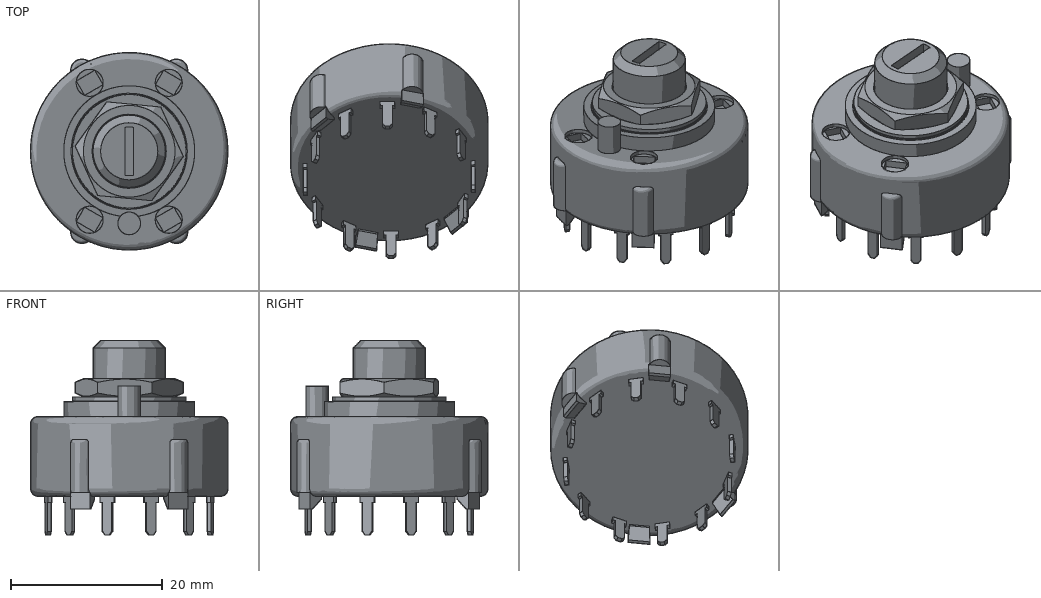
import cadquery as cq
import math

OVERALL_HEIGHT = 25.6

HOUSING_DIA = 26.0
HOUSING_HEIGHT = 10.5
HOUSING_FLAT_DIA = 24.0
HOUSING_ROUND = (HOUSING_DIA - HOUSING_FLAT_DIA) / 2

COLLAR_DIA = 17.25
COLLAR_TOP = 12.48
WASHER_DIA = 15.0
WASHER_TOP = 13.1
WASHER_SEAT_DIA = 15.3
WASHER_SEAT_DEPTH = 0.25
WASHER_BOTTOM = 12.55
WASHER_NECK_DIA = 14.82

NUT_SIDES = 6
NUT_ACROSS_CORNERS = 14.3
NUT_TOP = 15.5
NUT_TURN = -5.5
NUT_FACE_DIA = 12.06
NUT_CORNER_DROP = 0.5
NUT_BORE_DIA = 9.75
NUT_BORE_DEPTH = 0.5

BUSHING_DIA = 9.5
BUSHING_TOP = 20.51
BUSHING_CHAMFER = 1.0
SHAFT_DIA = 6.4
SLOT_WIDTH = 1.17
SLOT_DEPTH = 2.0

PEG_DIA = 3.0
PEG_TOP = 14.5
PEG_OFFSET = 9.5

CORNER_ANGLE = 60.0
HOLE_DIA = 3.55
HOLE_RADIUS = 10.4
HOLE_DEPTH = 0.5
POCKET_LENGTH = 2.8
POCKET_WIDTH = math.sqrt(HOLE_DIA**2 - POCKET_LENGTH**2)
POCKET_DEPTH = 1.0
RIB_DIA = 3.0
RIB_X = 6.21
RIB_Y = 10.63
RIB_BOTTOM = 0.52
RIB_TOP = 7.51
RIB_ROUND = 0.5

LEG_OUTER_RADIUS = 12.9
LEG_DEPTH = 1.8
LEG_WIDTH = 2.9
LEG_TAPER = 0.29
LEG_BOTTOM = -1.66
LEG_TIP_DEPTH = 0.4
LEG_SLOPE_TOP = -0.35

PIN_COUNT = 12
PIN_RADIUS = 11.05
PIN_WIDTH = 1.3
PIN_THICKNESS = 0.52
PIN_BOTTOM = BUSHING_TOP - OVERALL_HEIGHT
PIN_TIP_CHAMFER_WIDTH = 0.36
PIN_TIP_CHAMFER_HEIGHT = 0.5
SHOULDER_WIDTH = 1.92
SHOULDER_BOTTOM = -0.83


def cylinder(diameter, bottom, top):
    return cq.Workplane("XY").workplane(offset=bottom).circle(diameter / 2).extrude(top - bottom)


def at_corners(shape):
    """Copy a shape from the +X +Y corner to all four corners."""
    right = shape.union(shape.mirror("XZ"))
    return right.union(right.mirror("YZ"))


def make_housing():
    housing = cylinder(HOUSING_DIA, 0, HOUSING_HEIGHT)
    return housing.faces("<Z or >Z").edges().fillet(HOUSING_ROUND)


def make_collar():
    seat_floor = COLLAR_TOP - WASHER_SEAT_DEPTH
    collar = cylinder(COLLAR_DIA, HOUSING_HEIGHT, COLLAR_TOP)
    seat = cylinder(WASHER_SEAT_DIA, seat_floor, COLLAR_TOP)
    neck = cylinder(WASHER_NECK_DIA, seat_floor, WASHER_BOTTOM)
    washer = cylinder(WASHER_DIA, WASHER_BOTTOM, WASHER_TOP)
    return collar.cut(seat).union(neck).union(washer)


def make_nut():
    corner_radius = NUT_ACROSS_CORNERS / 2
    hexagon = (
        cq.Workplane("XY")
        .workplane(offset=WASHER_TOP)
        .polygon(NUT_SIDES, NUT_ACROSS_CORNERS)
        .extrude(NUT_TOP - WASHER_TOP)
        .rotate((0, 0, 0), (0, 0, 1), NUT_TURN)
    )
    envelope = (
        cq.Workplane("XZ")
        .moveTo(0, WASHER_TOP)
        .lineTo(NUT_FACE_DIA / 2, WASHER_TOP)
        .lineTo(corner_radius, WASHER_TOP + NUT_CORNER_DROP)
        .lineTo(corner_radius, NUT_TOP - NUT_CORNER_DROP)
        .lineTo(NUT_FACE_DIA / 2, NUT_TOP)
        .lineTo(0, NUT_TOP)
        .close()
        .revolve(360, (0, 0, 0), (0, 1, 0))
    )
    bore = cylinder(NUT_BORE_DIA, NUT_TOP - NUT_BORE_DEPTH, NUT_TOP)
    return hexagon.intersect(envelope).cut(bore)


def make_bushing():
    bushing = cylinder(BUSHING_DIA, WASHER_TOP, BUSHING_TOP).faces(">Z").edges().chamfer(BUSHING_CHAMFER)
    shaft_end = cylinder(SHAFT_DIA, BUSHING_TOP - SLOT_DEPTH, BUSHING_TOP)
    slot = shaft_end.intersect(cq.Workplane("XY").box(SLOT_WIDTH, SHAFT_DIA, 2 * BUSHING_TOP))
    return bushing.cut(slot)


def make_peg():
    return cylinder(PEG_DIA, HOUSING_HEIGHT, PEG_TOP).translate((0, -PEG_OFFSET, 0))


def make_corner_hole():
    floor = HOUSING_HEIGHT - HOLE_DEPTH
    hole = cylinder(HOLE_DIA, floor, HOUSING_HEIGHT)
    pocket = (
        cq.Workplane("XY")
        .workplane(offset=floor - POCKET_DEPTH)
        .rect(POCKET_WIDTH, POCKET_LENGTH)
        .extrude(POCKET_DEPTH)
    )
    return hole.union(pocket).translate((HOLE_RADIUS, 0, 0)).rotate((0, 0, 0), (0, 0, 1), CORNER_ANGLE)


def make_rib():
    rib = cylinder(RIB_DIA, RIB_BOTTOM, RIB_TOP).faces(">Z").edges().fillet(RIB_ROUND)
    return rib.translate((RIB_X, RIB_Y, 0))


def make_leg():
    inner_radius = LEG_OUTER_RADIUS - LEG_DEPTH
    half_width = LEG_WIDTH / 2
    block = (
        cq.Workplane("XY")
        .workplane(offset=LEG_BOTTOM)
        .moveTo(LEG_OUTER_RADIUS, -half_width)
        .lineTo(LEG_OUTER_RADIUS, half_width)
        .lineTo(inner_radius, half_width - LEG_TAPER)
        .lineTo(inner_radius, -half_width)
        .close()
        .extrude(RIB_BOTTOM - LEG_BOTTOM)
    )
    profile = (
        cq.Workplane("XZ")
        .moveTo(LEG_OUTER_RADIUS, RIB_BOTTOM)
        .lineTo(LEG_OUTER_RADIUS, LEG_BOTTOM)
        .lineTo(LEG_OUTER_RADIUS - LEG_TIP_DEPTH, LEG_BOTTOM)
        .lineTo(inner_radius, LEG_SLOPE_TOP)
        .lineTo(inner_radius, RIB_BOTTOM)
        .close()
        .extrude(half_width, both=True)
    )
    return block.intersect(profile).rotate((0, 0, 0), (0, 0, 1), CORNER_ANGLE)


def make_pins():
    half_pin = PIN_WIDTH / 2
    half_tip = half_pin - PIN_TIP_CHAMFER_WIDTH
    half_shoulder = SHOULDER_WIDTH / 2
    tip_top = PIN_BOTTOM + PIN_TIP_CHAMFER_HEIGHT
    root = HOUSING_ROUND
    pin = (
        cq.Workplane("YZ")
        .moveTo(0, root)
        .lineTo(half_shoulder, root)
        .lineTo(half_shoulder, SHOULDER_BOTTOM)
        .lineTo(half_pin, SHOULDER_BOTTOM)
        .lineTo(half_pin, tip_top)
        .lineTo(half_tip, PIN_BOTTOM)
        .lineTo(0, PIN_BOTTOM)
        .mirrorY()
        .extrude(PIN_THICKNESS / 2, both=True)
        .translate((PIN_RADIUS, 0, 0))
    )
    pitch = 360 / PIN_COUNT
    pins = cq.Workplane("XY")
    for index in range(PIN_COUNT):
        pins = pins.add(pin.rotate((0, 0, 0), (0, 0, 1), (index + 0.5) * pitch))
    return pins.combine()


result = (
    make_housing()
    .union(make_collar())
    .union(make_nut())
    .union(make_bushing())
    .union(make_peg())
    .union(at_corners(make_rib().union(make_leg())))
    .union(make_pins())
    .cut(at_corners(make_corner_hole()))
)